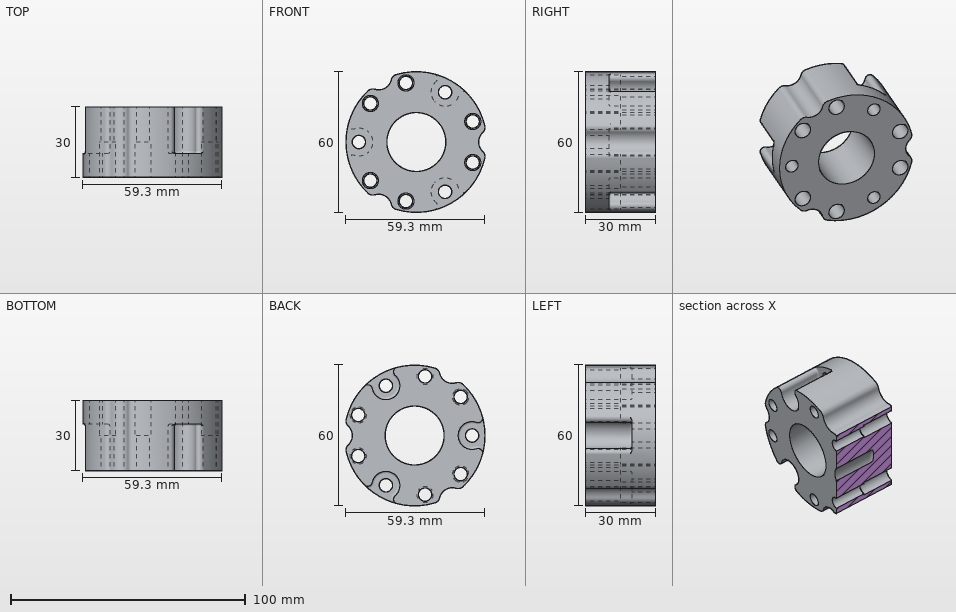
import cadquery as cq
import math

OUTER_RADIUS = 30.0
THICKNESS = 30.0
CENTRE_BORE_DIAMETER = 25.0

HOLE_DIAMETER = 5.6
POCKET_HOLE_PITCH_RADIUS = 24.5
POCKET_ANGLES = (60, 180, 300)

POCKET_RADIUS = 5.95
POCKET_LIP_RADIUS = 2.0
POCKET_DEPTH = 20.0
POCKET_FLOOR_FILLET = 1.0

GROOVE_ANGLES = (0, 120, 240)
GROOVE_RADIUS = 5.5
GROOVE_AXIS_DISTANCE = 32.1
GROOVE_LIP_RADIUS = 3.0

BOLT_PITCH_RADIUS = 25.55
BOLT_OFFSET_ANGLE = 20
COUNTERBORE_DIAMETER = 6.9
COUNTERBORE_DEPTH = THICKNESS / 2

CUTTER_REACH = 12.0
END_CLEARANCE = 0.6


def rim_recess_profile(axis_distance, recess_radius, lip_radius):
    """Closed outline of a recess at angle 0, a round hollow blended into the rim by two rounded lips."""
    lip_distance = OUTER_RADIUS - lip_radius
    centre_gap = recess_radius + lip_radius
    lip_angle = math.acos(
        (axis_distance**2 + lip_distance**2 - centre_gap**2) / (2 * axis_distance * lip_distance)
    )
    lip_x = lip_distance * math.cos(lip_angle)
    lip_z = lip_distance * math.sin(lip_angle)

    inward_angle = math.atan2(-lip_z, axis_distance - lip_x)
    middle_angle = (inward_angle + lip_angle) / 2

    def on_lip(angle):
        return lip_x + lip_radius * math.cos(angle), lip_z + lip_radius * math.sin(angle)

    def mirrored(point):
        return point[0], -point[1]

    hollow_end = on_lip(inward_angle)
    lip_middle = on_lip(middle_angle)
    rim_end = on_lip(lip_angle)
    outside = (
        rim_end[0] - CUTTER_REACH * math.sin(lip_angle),
        rim_end[1] + CUTTER_REACH * math.cos(lip_angle),
    )
    far_x = OUTER_RADIUS + CUTTER_REACH
    far_corner = (far_x, outside[1])

    return (
        cq.Workplane("XZ")
        .moveTo(*mirrored(hollow_end))
        .threePointArc((axis_distance - recess_radius, 0), hollow_end)
        .threePointArc(lip_middle, rim_end)
        .lineTo(*outside)
        .lineTo(*far_corner)
        .lineTo(*mirrored(far_corner))
        .lineTo(*mirrored(outside))
        .lineTo(*mirrored(rim_end))
        .threePointArc(mirrored(lip_middle), mirrored(hollow_end))
        .close()
    )


def turned(body, angle):
    """Turn a body about the hub axis, counterclockwise as seen from the front."""
    return body.rotate((0, 0, 0), (0, 1, 0), -angle)


def groove_cutter():
    profile = rim_recess_profile(GROOVE_AXIS_DISTANCE, GROOVE_RADIUS, GROOVE_LIP_RADIUS)
    length = THICKNESS + 2 * END_CLEARANCE
    return profile.extrude(-length).translate((0, -END_CLEARANCE, 0))


def pocket_cutter():
    profile = rim_recess_profile(POCKET_HOLE_PITCH_RADIUS, POCKET_RADIUS, POCKET_LIP_RADIUS)
    body = profile.extrude(-(POCKET_DEPTH + END_CLEARANCE))
    body = body.faces("<Y").edges().fillet(POCKET_FLOOR_FILLET)
    return body.translate((0, THICKNESS - POCKET_DEPTH, 0))


def front_points(radius, angles):
    return [
        (radius * math.cos(math.radians(angle)), radius * math.sin(math.radians(angle)))
        for angle in angles
    ]


result = (
    cq.Workplane("XZ")
    .circle(OUTER_RADIUS)
    .circle(CENTRE_BORE_DIAMETER / 2)
    .extrude(-THICKNESS)
)

for groove_angle in GROOVE_ANGLES:
    result = result.cut(turned(groove_cutter(), groove_angle))
for pocket_angle in POCKET_ANGLES:
    result = result.cut(turned(pocket_cutter(), pocket_angle))

bolt_angles = [
    groove_angle + side * BOLT_OFFSET_ANGLE for groove_angle in GROOVE_ANGLES for side in (-1, 1)
]
result = (
    result.copyWorkplane(cq.Workplane("XZ"))
    .pushPoints(front_points(POCKET_HOLE_PITCH_RADIUS, POCKET_ANGLES))
    .hole(HOLE_DIAMETER)
    .pushPoints(front_points(BOLT_PITCH_RADIUS, bolt_angles))
    .cboreHole(HOLE_DIAMETER, COUNTERBORE_DIAMETER, COUNTERBORE_DEPTH)
)